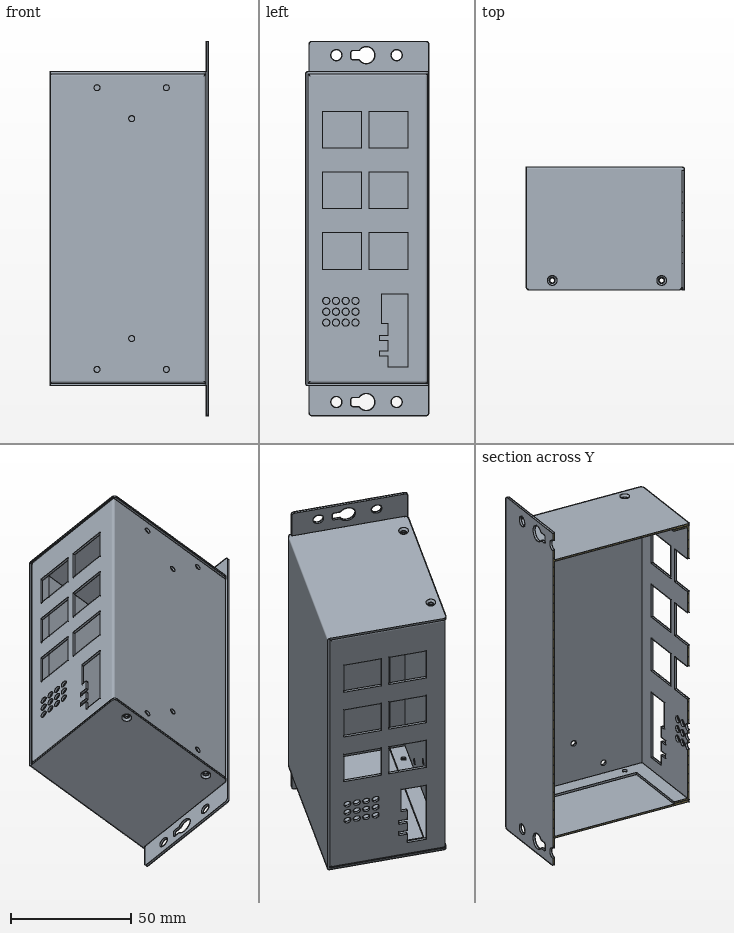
import cadquery as cq

LENGTH = 156.0
WIDTH = 66.0
DEPTH = 51.3
BOX_HEIGHT = 130.9
SHEET = 1.0
BEND_RADIUS = SHEET

TRAY_SETBACK = 0.5
LIP_WIDTH = 7.5
FAR_LIP_WIDTH = 9.4

WINDOW_WIDTH = 16.2
WINDOW_HEIGHT = 15.3
WINDOW_COLUMNS = (16.8, 36.2)
WINDOW_ROWS = 3
WINDOW_PITCH = 25.3
WINDOW_MIDDLE_Z = 15.9

GRILLE_DIAMETER = 3.0
GRILLE_COLUMNS = 4
GRILLE_ROWS = 3
GRILLE_PITCH_Y = 4.0
GRILLE_PITCH_Z = 4.5
GRILLE_Y = 36.7
GRILLE_Z = -34.6

CONNECTOR_TOP = -27.1
CONNECTOR_STEP = -39.6
CONNECTOR_BOTTOM = -57.7
CONNECTOR_NEAR_Y = 8.7
CONNECTOR_NARROW_Y = 17.0
CONNECTOR_WIDE_Y = 19.7
NOTCH_Y = 20.6
NOTCH_HEIGHT = 2.0
NOTCH_CENTRES = (-45.5, -52.0)

SIDE_HOLE_DIAMETER = 2.5
SIDE_HOLE_MIDDLE_X = 34.0
SIDE_HOLE_SPACING_X = 28.9
SIDE_HOLE_SPACING_Z = 117.3
CENTRE_HOLE_SPACING_Z = 91.5

SCREW_DIAMETER = 2.0
SCREW_HEAD_DIAMETER = 4.0
COUNTERSINK_BASE_DIAMETER = 2.5
SCREW_Y = 4.0
SCREW_COLUMNS = (10.9, 56.5)

EAR_SETBACK = 1.4
EAR_HOLE_Z = 72.2
EAR_HOLE_DIAMETER = 4.5
EAR_HOLE_COLUMNS = (13.4, 38.5)
KEYHOLE_Y = 26.0
KEYHOLE_DIAMETER = 7.0
KEYHOLE_SLOT_WIDTH = 3.7
KEYHOLE_TIP_Y = 32.5
KEYHOLE_TIP_RADIUS = 0.8
EAR_CORNER_RADIUS = 1.2

COVER_CORNER_RADIUS = 1.5

BACK_FACE = WIDTH - SHEET
TRAY_HEIGHT = BOX_HEIGHT - 2 * SHEET
TRAY_FAR_Y = DEPTH - SHEET


def block(x0, x1, y0, y1, height):
    """Box between two X and two Y positions, centred on Z = 0."""
    base = cq.Workplane("XY").box(x1 - x0, y1 - y0, height, centered=(False, False, True))
    return base.translate((x0, y0, 0))


def along_x(x):
    """Sketch plane facing +X at the given X, with local axes Y and Z."""
    return cq.Workplane("YZ", origin=(x, 0, 0))


def tray_shell():
    """Folded sheet: two full panels, with lips on all their free edges."""
    outer = block(0, BACK_FACE, TRAY_SETBACK, TRAY_FAR_Y, TRAY_HEIGHT)
    outer = outer.faces("<X or <Y").edges().fillet(BEND_RADIUS)
    inner = block(
        SHEET, BACK_FACE - SHEET, TRAY_SETBACK + SHEET, TRAY_FAR_Y - SHEET, TRAY_HEIGHT - 2 * SHEET
    )
    lip_y = TRAY_SETBACK + LIP_WIDTH
    opening = block(LIP_WIDTH, BACK_FACE, lip_y, TRAY_FAR_Y - SHEET, TRAY_HEIGHT)
    far_opening = block(FAR_LIP_WIDTH, BACK_FACE, TRAY_FAR_Y - SHEET, TRAY_FAR_Y, TRAY_HEIGHT)
    return outer.cut(inner).cut(opening).cut(far_opening)


def front_windows():
    centres = [
        (y, WINDOW_MIDDLE_Z + (row - (WINDOW_ROWS - 1) / 2) * WINDOW_PITCH)
        for y in WINDOW_COLUMNS
        for row in range(WINDOW_ROWS)
    ]
    return along_x(0).pushPoints(centres).rect(WINDOW_WIDTH, WINDOW_HEIGHT).extrude(SHEET)


def speaker_grille():
    return (
        along_x(0)
        .center(GRILLE_Y, GRILLE_Z)
        .rarray(GRILLE_PITCH_Y, GRILLE_PITCH_Z, GRILLE_COLUMNS, GRILLE_ROWS)
        .circle(GRILLE_DIAMETER / 2)
        .extrude(SHEET)
    )


def connector_opening():
    opening = (
        along_x(0)
        .moveTo(CONNECTOR_NEAR_Y, CONNECTOR_TOP)
        .lineTo(CONNECTOR_WIDE_Y, CONNECTOR_TOP)
        .lineTo(CONNECTOR_WIDE_Y, CONNECTOR_STEP)
        .lineTo(CONNECTOR_NARROW_Y, CONNECTOR_STEP)
        .lineTo(CONNECTOR_NARROW_Y, CONNECTOR_BOTTOM)
        .lineTo(CONNECTOR_NEAR_Y, CONNECTOR_BOTTOM)
        .close()
        .extrude(SHEET)
    )
    notch_length = NOTCH_Y - CONNECTOR_NEAR_Y
    notch_middle = (NOTCH_Y + CONNECTOR_NEAR_Y) / 2
    notches = (
        along_x(0)
        .pushPoints([(notch_middle, z) for z in NOTCH_CENTRES])
        .rect(notch_length, NOTCH_HEIGHT)
        .extrude(SHEET)
    )
    return opening.union(notches)


def side_holes():
    plane = cq.Workplane("XZ", origin=(SIDE_HOLE_MIDDLE_X, 0, 0))
    corners = plane.rarray(SIDE_HOLE_SPACING_X, SIDE_HOLE_SPACING_Z, 2, 2)
    corner_holes = corners.circle(SIDE_HOLE_DIAMETER / 2).extrude(-(TRAY_SETBACK + SHEET))
    centres = plane.rarray(1.5, CENTRE_HOLE_SPACING_Z, 1, 2)
    centre_holes = centres.circle(SIDE_HOLE_DIAMETER / 2).extrude(-(TRAY_SETBACK + SHEET))
    return corner_holes.union(centre_holes)


def screw_shafts():
    positions = [(x, SCREW_Y) for x in SCREW_COLUMNS]
    shafts = cq.Workplane("XY").pushPoints(positions).circle(SCREW_DIAMETER / 2)
    return shafts.extrude(BOX_HEIGHT / 2, both=True)


def screw_countersinks():
    """Cones through the end sheets, widest on the outside."""
    head_radius = SCREW_HEAD_DIAMETER / 2
    base_radius = COUNTERSINK_BASE_DIAMETER / 2
    cones = cq.Workplane("XY")
    for x in SCREW_COLUMNS:
        for end in (1, -1):
            mouth = (x, SCREW_Y, end * BOX_HEIGHT / 2)
            cone = cq.Solid.makeCone(head_radius, base_radius, SHEET, pnt=mouth, dir=(0, 0, -end))
            cones = cones.add(cone)
    return cones.combine()


def cover_shell():
    """Far side panel and two end sheets, open towards the tray."""
    outer = block(0, WIDTH, 0, DEPTH, BOX_HEIGHT)
    outer = outer.faces(">Y").edges("|X or >X").fillet(BEND_RADIUS)
    inner = block(0, BACK_FACE, 0, TRAY_FAR_Y, TRAY_HEIGHT)
    end_corners = block(0, BACK_FACE, 0, DEPTH, LENGTH).edges("|Z and <Y").fillet(COVER_CORNER_RADIUS)
    back = block(BACK_FACE, WIDTH, 0, DEPTH, LENGTH)
    return outer.intersect(end_corners.union(back)).cut(inner)


def mounting_ears():
    """Plate behind the box, longer than it at both ends."""
    return block(BACK_FACE, WIDTH, 0, DEPTH - EAR_SETBACK, LENGTH).edges("|X").fillet(EAR_CORNER_RADIUS)


def ear_holes():
    slot_length = KEYHOLE_TIP_Y - KEYHOLE_Y
    ends = (EAR_HOLE_Z, -EAR_HOLE_Z)
    plane = along_x(BACK_FACE)
    rounds = plane.pushPoints([(y, z) for y in EAR_HOLE_COLUMNS for z in ends])
    rounds = rounds.circle(EAR_HOLE_DIAMETER / 2).extrude(SHEET)
    heads = plane.pushPoints([(KEYHOLE_Y, z) for z in ends])
    heads = heads.circle(KEYHOLE_DIAMETER / 2).extrude(SHEET)
    slots = plane.pushPoints([(KEYHOLE_Y + slot_length / 2, z) for z in ends])
    slots = slots.rect(slot_length, KEYHOLE_SLOT_WIDTH).extrude(SHEET)
    slots = slots.edges("|X and >Y").fillet(KEYHOLE_TIP_RADIUS)
    return rounds.union(heads).union(slots)


tray = tray_shell().cut(front_windows()).cut(speaker_grille()).cut(connector_opening())
tray = tray.cut(side_holes()).cut(screw_shafts())

cover = cover_shell().union(mounting_ears()).cut(ear_holes())
cover = cover.cut(screw_countersinks())

result = cq.Compound.makeCompound([tray.val(), cover.val()])